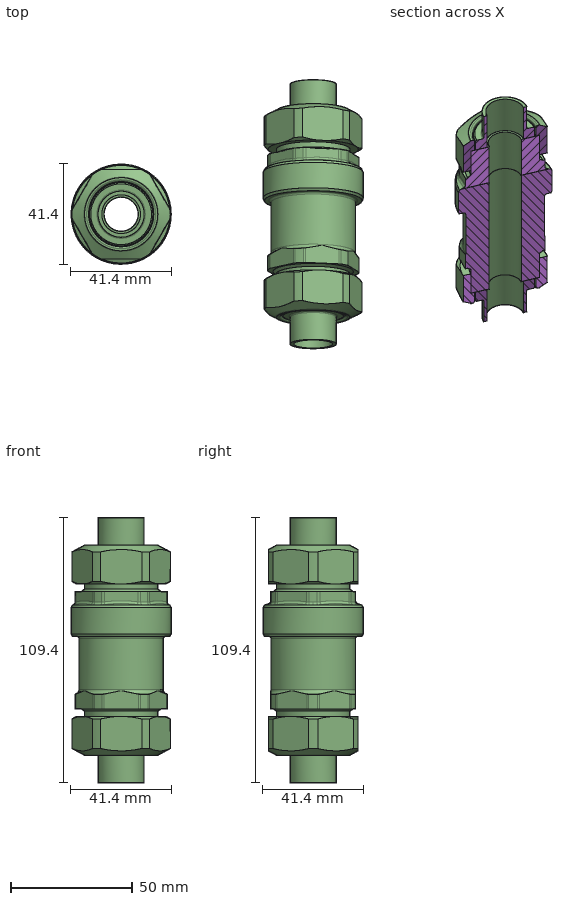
import cadquery as cq
import math


LENGTH = 109.4
MID = LENGTH / 2
CHAMFER_ANGLE = math.radians(30)
CHAMFER_SLOPE = math.tan(CHAMFER_ANGLE)
SELECT_MARGIN = 0.1

TUBE_DIA = 19.0
TUBE_BORE = 16.0
COLLAR_DIA = 26.1
COLLAR_CHAMFER = 0.5
COLLAR_RECESS = 0.4
STUB_FILLET = 0.4

STUB_LENGTH = 11.3
NUT_LENGTH = 16.1
NUT_FLATS = 37.0
NUT_CORNERS = 40.7
NUT_FACE_DIA = 30.6
NUT_FACE_BEVEL = 0.2
NUT_INNER_FACE_DIA = 37.2
NUT_HOLE_DIA = 26.9
NUT_HOLE_ROUND = 0.8
NUT_LIP = 5.5

BODY_BORE = 14.0
NECK_DIA = 30.3
SHOULDER_DIA = 33.1
SHOULDER_HEIGHT = 1.0
HEX_FLATS = 35.0
HEX_CORNERS = 38.1
UPPER_HEX_CORNER_ROUND = 2.7
HEX_FACE_OFFSET = 24.2
BARREL_DIA = 34.9
LOWER_HEX_CORNER_ROUND = 2.0
LOWER_HEX_LENGTH = 6.9
LOWER_HEX_BLEND = 1.0
RING_DIA = 41.4
RING_BOTTOM = 60.4
RING_TOP = 73.3
RING_CHAMFER_WIDTH = 0.5
RING_CHAMFER_HEIGHT = 1.1
RING_FILLET = 0.9
FLANGE_DIA = RING_DIA - 2 * RING_CHAMFER_WIDTH
FLANGE_SLOPE = math.tan(math.radians(20))
FLANGE_FILLET = 1.2

NUT_TOP = LENGTH - STUB_LENGTH
NUT_BOTTOM = NUT_TOP - NUT_LENGTH
NECK_END = NUT_TOP - NUT_LIP
UPPER_HEX_TOP = MID + HEX_FACE_OFFSET
LOWER_HEX_BOTTOM = MID - HEX_FACE_OFFSET
LOWER_HEX_TOP = LOWER_HEX_BOTTOM + LOWER_HEX_LENGTH


def cylinder(diameter, bottom, top):
    return cq.Workplane("XY").workplane(offset=bottom).circle(diameter / 2).extrude(top - bottom)


def hexagon(flats, bottom, top):
    """Hexagonal prism with corners on the X axis."""
    corner_dia = flats / math.cos(math.radians(30))
    return cq.Workplane("XY").workplane(offset=bottom).polygon(6, corner_dia).extrude(top - bottom)


def revolve_profile(profile):
    """Turn a closed (radius, height) outline about Z."""
    return profile.close().revolve(360, (0, 0, 0), (0, 1, 0))


def to_lower_end(shape):
    """Mirror an upper-end shape about the middle of the length."""
    return shape.mirror("XY", (0, 0, MID))


def make_nipple():
    collar_top = NUT_TOP - COLLAR_RECESS
    collar = cylinder(COLLAR_DIA, NECK_END, collar_top).faces(">Z").chamfer(COLLAR_CHAMFER)
    solid = collar.union(cylinder(TUBE_DIA, NECK_END, LENGTH))
    stub_root = cq.selectors.BoxSelector(
        (-TUBE_DIA, -TUBE_DIA, collar_top - SELECT_MARGIN),
        (TUBE_DIA, TUBE_DIA, collar_top + SELECT_MARGIN),
    )
    solid = solid.edges(stub_root).edges(cq.selectors.RadiusNthSelector(0)).fillet(STUB_FILLET)
    return solid.cut(cylinder(TUBE_BORE, NECK_END, LENGTH))


def make_nut():
    face_radius = NUT_FACE_DIA / 2
    corner_radius = NUT_CORNERS / 2
    inner_face_radius = NUT_INNER_FACE_DIA / 2
    hole_radius = NUT_HOLE_DIA / 2
    neck_radius = NECK_DIA / 2
    outer_chamfer = (corner_radius - face_radius) * CHAMFER_SLOPE
    inner_chamfer = (corner_radius - inner_face_radius) * CHAMFER_SLOPE
    turned = revolve_profile(
        cq.Workplane("XZ")
        .moveTo(neck_radius, NUT_BOTTOM)
        .lineTo(inner_face_radius, NUT_BOTTOM)
        .lineTo(corner_radius, NUT_BOTTOM + inner_chamfer)
        .lineTo(corner_radius, NUT_TOP - outer_chamfer)
        .lineTo(face_radius, NUT_TOP - NUT_FACE_BEVEL)
        .lineTo(face_radius - NUT_FACE_BEVEL, NUT_TOP)
        .lineTo(hole_radius + NUT_HOLE_ROUND, NUT_TOP)
        .radiusArc((hole_radius, NUT_TOP - NUT_HOLE_ROUND), -NUT_HOLE_ROUND)
        .lineTo(hole_radius, NECK_END)
        .lineTo(neck_radius, NECK_END)
    )
    return turned.intersect(hexagon(NUT_FLATS, NUT_BOTTOM, NUT_TOP))


def make_neck():
    """Threaded neck of the upper end, with the conical shoulder at its root."""
    shoulder_radius = SHOULDER_DIA / 2
    neck_radius = NECK_DIA / 2
    shoulder_top = UPPER_HEX_TOP + SHOULDER_HEIGHT
    return revolve_profile(
        cq.Workplane("XZ")
        .moveTo(0, UPPER_HEX_TOP)
        .lineTo(shoulder_radius, UPPER_HEX_TOP)
        .lineTo(neck_radius, shoulder_top)
        .lineTo(neck_radius, NECK_END)
        .lineTo(0, NECK_END)
    )


def body_hexagon(bottom, top, corner_round):
    """Wrench hexagon whose corners are turned down and blended into the flats."""
    prism = hexagon(HEX_FLATS, bottom, top).intersect(cylinder(HEX_CORNERS, bottom, top))
    return prism.edges("|Z").fillet(corner_round)


def make_upper_body():
    flange_radius = FLANGE_DIA / 2
    flats_radius = HEX_FLATS / 2
    cone_height = (flange_radius - flats_radius) * FLANGE_SLOPE
    flange = revolve_profile(
        cq.Workplane("XZ")
        .moveTo(0, RING_TOP)
        .lineTo(flange_radius, RING_TOP)
        .lineTo(flats_radius, RING_TOP + cone_height)
        .lineTo(0, RING_TOP + cone_height)
    )
    solid = flange.union(body_hexagon(RING_TOP, UPPER_HEX_TOP, UPPER_HEX_CORNER_ROUND))
    hex_root = cq.selectors.BoxSelector(
        (-flange_radius, -flange_radius, RING_TOP + SELECT_MARGIN),
        (flange_radius, flange_radius, RING_TOP + cone_height + SELECT_MARGIN),
    )
    solid = solid.edges(hex_root).fillet(FLANGE_FILLET)
    return solid.union(make_neck()).cut(cylinder(BODY_BORE, RING_TOP, NECK_END))


def make_lower_hexagon():
    """Wrench hexagon with a conical top face that sweeps up into the barrel."""
    barrel_radius = BARREL_DIA / 2
    corner_radius = HEX_CORNERS / 2
    cone_height = (corner_radius - barrel_radius) * CHAMFER_SLOPE
    blend_top = LOWER_HEX_TOP + LOWER_HEX_BLEND
    blend_radius = barrel_radius + LOWER_HEX_BLEND * math.cos(CHAMFER_ANGLE)
    blend_bottom = LOWER_HEX_TOP - LOWER_HEX_BLEND * math.sin(CHAMFER_ANGLE)
    arc_radius = LOWER_HEX_BLEND / CHAMFER_SLOPE
    turned = revolve_profile(
        cq.Workplane("XZ")
        .moveTo(0, LOWER_HEX_BOTTOM)
        .lineTo(corner_radius, LOWER_HEX_BOTTOM)
        .lineTo(corner_radius, LOWER_HEX_TOP - cone_height)
        .lineTo(blend_radius, blend_bottom)
        .radiusArc((barrel_radius, blend_top), arc_radius)
        .lineTo(0, blend_top)
    )
    return turned.intersect(body_hexagon(LOWER_HEX_BOTTOM, blend_top, LOWER_HEX_CORNER_ROUND))


def make_barrel():
    """Barrel carrying the large ring, with a fillet below the ring."""
    barrel_radius = BARREL_DIA / 2
    ring_radius = RING_DIA / 2
    rim_radius = ring_radius - RING_CHAMFER_WIDTH
    return revolve_profile(
        cq.Workplane("XZ")
        .moveTo(0, LOWER_HEX_BOTTOM)
        .lineTo(barrel_radius, LOWER_HEX_BOTTOM)
        .lineTo(barrel_radius, RING_BOTTOM - RING_FILLET)
        .radiusArc((barrel_radius + RING_FILLET, RING_BOTTOM), RING_FILLET)
        .lineTo(rim_radius, RING_BOTTOM)
        .lineTo(ring_radius, RING_BOTTOM + RING_CHAMFER_HEIGHT)
        .lineTo(ring_radius, RING_TOP - RING_CHAMFER_HEIGHT)
        .lineTo(rim_radius, RING_TOP)
        .lineTo(0, RING_TOP)
    )


def make_lower_body():
    solid = make_barrel().union(make_lower_hexagon()).union(to_lower_end(make_neck()))
    return solid.cut(cylinder(BODY_BORE, LENGTH - NECK_END, RING_TOP))


upper_body = make_upper_body()
lower_body = make_lower_body()

nuts = []
nipples = []
for at_lower_end in (False, True):
    nut = make_nut()
    nipple = make_nipple()
    if at_lower_end:
        nut = to_lower_end(nut)
        nipple = to_lower_end(nipple)
    nuts.append(nut.val())
    nipples.append(nipple.val())

result = cq.Compound.makeCompound([upper_body.val(), lower_body.val(), *nuts, *nipples])